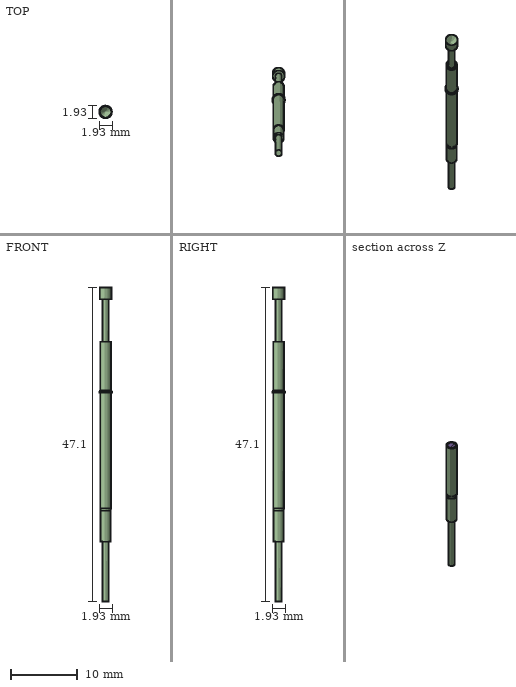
import cadquery as cq

TOTAL_LENGTH = 47.15
PLUNGER_REACH = 8.15
RECEPTACLE_LENGTH = 30.0
TAIL_LENGTH = TOTAL_LENGTH - PLUNGER_REACH - RECEPTACLE_LENGTH

HEAD_DIAMETER = 1.8
HEAD_HEIGHT = 1.8
CUP_DEPTH = HEAD_DIAMETER / 2
ROD_DIAMETER = 1.0
BARREL_DIAMETER = 1.36

TUBE_DIAMETER = 1.68
RING_DIAMETER = 1.93
RING_TOP = -7.3
RING_UPPER_TAPER = 0.25
RING_RIM_HEIGHT = 0.1
RING_LOWER_TAPER = 0.05
GROOVE_DIAMETER = 1.47
GROOVE_TOP = -25.0
GROOVE_HEIGHT = 0.4
FOOT_DIAMETER = 1.6
TAIL_DIAMETER = 1.0

BARREL_BOTTOM = GROOVE_TOP


def turned(outline):
    """Revolve (diameter, z) points, closed on the axis, about the Z axis."""
    points = [(diameter / 2, z) for diameter, z in outline]
    profile = cq.Workplane("XZ").polyline(points).close()
    return profile.revolve(360, (0, 0), (0, 1))


def make_probe():
    """Head with a conical cup, plunger rod and barrel."""
    head_bottom = PLUNGER_REACH - HEAD_HEIGHT
    return turned([
        (0, PLUNGER_REACH - CUP_DEPTH),
        (HEAD_DIAMETER, PLUNGER_REACH),
        (HEAD_DIAMETER, head_bottom),
        (ROD_DIAMETER, head_bottom),
        (ROD_DIAMETER, 0),
        (BARREL_DIAMETER, 0),
        (BARREL_DIAMETER, BARREL_BOTTOM),
        (0, BARREL_BOTTOM),
    ])


def make_receptacle():
    """Tube with its blind bore, press ring, groove, foot and solid tail."""
    rim_top = RING_TOP - RING_UPPER_TAPER
    rim_bottom = rim_top - RING_RIM_HEIGHT
    ring_bottom = rim_bottom - RING_LOWER_TAPER
    groove_bottom = GROOVE_TOP - GROOVE_HEIGHT
    foot_bottom = -RECEPTACLE_LENGTH
    tail_bottom = foot_bottom - TAIL_LENGTH
    return turned([
        (0, BARREL_BOTTOM),
        (BARREL_DIAMETER, BARREL_BOTTOM),
        (BARREL_DIAMETER, 0),
        (TUBE_DIAMETER, 0),
        (TUBE_DIAMETER, RING_TOP),
        (RING_DIAMETER, rim_top),
        (RING_DIAMETER, rim_bottom),
        (TUBE_DIAMETER, ring_bottom),
        (TUBE_DIAMETER, GROOVE_TOP),
        (GROOVE_DIAMETER, groove_bottom),
        (FOOT_DIAMETER, groove_bottom),
        (FOOT_DIAMETER, foot_bottom),
        (TAIL_DIAMETER, foot_bottom),
        (TAIL_DIAMETER, tail_bottom),
        (0, tail_bottom),
    ])


probe = make_probe()
receptacle = make_receptacle()

result = cq.Compound.makeCompound([probe.val(), receptacle.val()])